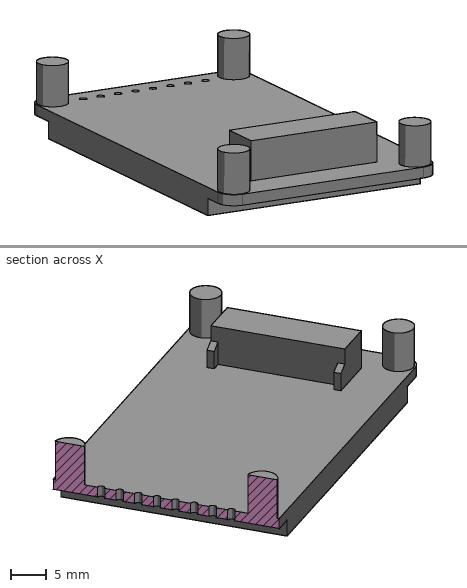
import cadquery as cq

board_length = 57.0
board_width = 34.0
board_thickness = 1.6
corner_radius = 2.5

block_height = 2.5
block_left_inset = 5.8
block_right_inset = 5.5

pillar_diameter = 4.5
pillar_height = 6.0

hole_count = 8
hole_diameter = 1.0
hole_pitch = 2.8
hole_inset = 2.85

connector_length = 20.1
connector_depth = 6.25
connector_height = 5.8

lug_reach = 1.5
lug_width = 1.1
lug_front_height = 2.7
lug_back_height = 3.5

right_edge = board_length / 2
left_edge = -right_edge
connector_back = right_edge - block_right_inset
connector_front = connector_back - connector_depth


def make_board():
    board = cq.Workplane("XY").box(
        board_length, board_width, board_thickness, centered=(True, True, False)
    )
    board = board.edges("|Z").fillet(corner_radius)
    return board.translate((0, 0, -board_thickness))


def make_block():
    length = board_length - block_left_inset - block_right_inset
    block = cq.Workplane("XY").box(length, board_width, block_height, centered=(False, True, False))
    return block.translate((left_edge + block_left_inset, 0, -board_thickness - block_height))


def make_pillars():
    return (
        cq.Workplane("XY")
        .rect(board_length - 2 * corner_radius, board_width - 2 * corner_radius, forConstruction=True)
        .vertices()
        .circle(pillar_diameter / 2)
        .extrude(pillar_height)
    )


def make_pin_holes():
    return (
        cq.Workplane("XY")
        .center(left_edge + hole_inset, 0)
        .rarray(0.55, hole_pitch, 1, hole_count)
        .circle(hole_diameter / 2)
        .extrude(-board_thickness)
    )


def make_connector():
    body = cq.Workplane("XY").box(
        connector_depth, connector_length, connector_height, centered=(False, True, False)
    )
    return body.translate((connector_front, 0, 0))


def make_lug(start_y):
    """Lug in front of the connector, spanning start_y to start_y + lug_width."""
    lug_front = connector_front - lug_reach
    profile = [
        (lug_front, 0),
        (connector_front, 0),
        (connector_front, lug_back_height),
        (lug_front, lug_front_height),
    ]
    lug = cq.Workplane("XZ").polyline(profile).close().extrude(-lug_width)
    return lug.translate((0, start_y, 0))


result = make_board().union(make_block()).union(make_pillars()).union(make_connector())
for lug_start in (-connector_length / 2, connector_length / 2 - lug_width):
    result = result.union(make_lug(lug_start))
result = result.cut(make_pin_holes())